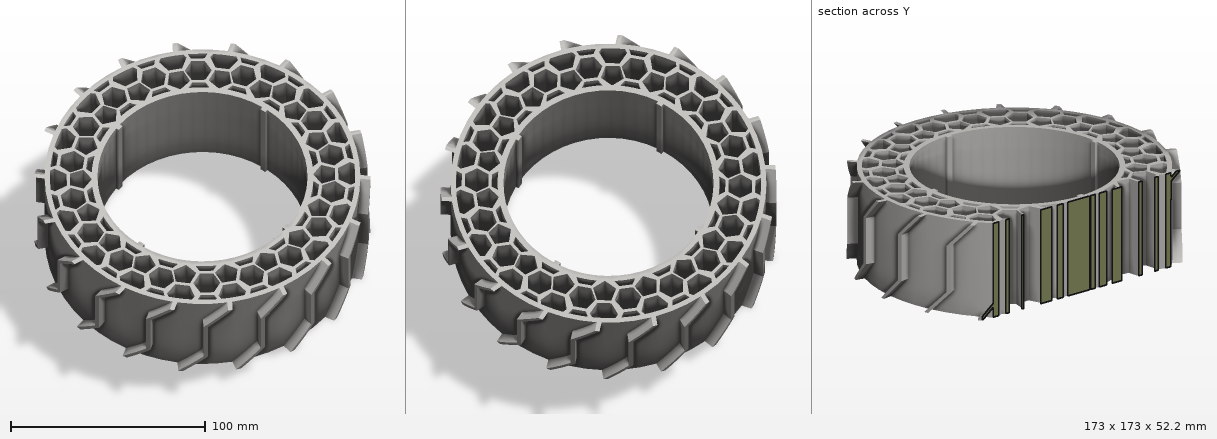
import cadquery as cq
import math

tip_radius = 86.52
height = 52.24
half_height = height / 2

outer_ring_radius = 81.35
outer_ring_inner_radius = 78.6
inner_ring_outer_radius = 57.15
bore_radius = 54.1

sector_count = 18
sector_angle = 360 / sector_count
spoke_cell_side = 6.95
spoke_cell_radius = 67.9
cell_wall = 1.7
spoke_cell_pitch = spoke_cell_side * math.sqrt(3) + cell_wall
pentagon_side = 7.35
pentagon_radius = 63.25
pentagon_lag = 0.38
gap_hexagon_side = 7.25
gap_hexagon_radius = 76.25
gap_hexagon_lag = 0.27

fin_width = 2.4
fin_left_flank = -2.35
fin_straight_top = 13.05
fin_straight_bottom = -12.6
fin_slope = 0.967

key_count = 4
key_width = 3.2
key_tip_radius = 52.4
ring_overlap = 1.0


def cylinder(radius):
    return cq.Workplane("XY", origin=(0, 0, -half_height)).circle(radius).extrude(height)


def annulus(outer_radius, inner_radius):
    return cylinder(outer_radius).cut(cylinder(inner_radius))


def copies_around_axis(body, count):
    return [body.rotate((0, 0, 0), (0, 0, 1), i * 360 / count) for i in range(count)]


def cell_prism(sides, side_length, radius, first_corner_angle):
    """Regular prism centred on the +Y axis at the given distance from the part's axis."""
    corner_radius = side_length / (2 * math.sin(math.pi / sides))
    corners = []
    for i in range(sides):
        angle = math.radians(first_corner_angle + i * 360 / sides)
        corners.append((corner_radius * math.cos(angle), radius + corner_radius * math.sin(angle)))
    return cq.Workplane("XY", origin=(0, 0, -half_height)).polyline(corners).close().extrude(height)


def sector_cells():
    """All the cells of one sector, before clipping to the web."""
    spoke_cells = [
        cell_prism(6, spoke_cell_side, spoke_cell_radius + step * spoke_cell_pitch, 0)
        for step in (-1, 0, 1)
    ]
    pentagon = cell_prism(5, pentagon_side, pentagon_radius, -90)
    gap_hexagon = cell_prism(6, gap_hexagon_side, gap_hexagon_radius, 0)
    gap_cells = [
        pentagon.rotate((0, 0, 0), (0, 0, 1), -sector_angle / 2 - pentagon_lag),
        gap_hexagon.rotate((0, 0, 0), (0, 0, 1), -sector_angle / 2 - gap_hexagon_lag),
    ]
    return spoke_cells + gap_cells


def honeycomb_holes():
    """One list of through holes, each clipped to the web between the rings."""
    web = annulus(outer_ring_inner_radius, inner_ring_outer_radius)
    holes = []
    for cell in sector_cells():
        holes += copies_around_axis(cell.intersect(web), sector_count)
    return holes


def tread_fin():
    """Zigzag fin on the -Y side, with parallel sides and a round tip."""
    upper_run = fin_slope * (half_height - fin_straight_top)
    lower_run = fin_slope * (half_height + fin_straight_bottom)
    left_edge = [
        (fin_left_flank - lower_run, -half_height),
        (fin_left_flank, fin_straight_bottom),
        (fin_left_flank, fin_straight_top),
        (fin_left_flank + upper_run, half_height),
    ]
    right_edge = [(x + fin_width, z) for x, z in reversed(left_edge)]
    zigzag = cq.Workplane("XZ").polyline(left_edge + right_edge).close().extrude(tip_radius)
    return zigzag.intersect(annulus(tip_radius, outer_ring_radius - ring_overlap))


def bore_key():
    """Full-height key on the +Y side of the bore, with one flank on the Y axis."""
    key_length = bore_radius + ring_overlap - key_tip_radius
    return (
        cq.Workplane("XY")
        .box(key_width, key_length, height, centered=(False, False, True))
        .translate((-key_width, key_tip_radius, 0))
    )


holes = [hole.val() for hole in honeycomb_holes()]
fins = [fin.val() for fin in copies_around_axis(tread_fin(), sector_count)]
keys = [key.val() for key in copies_around_axis(bore_key(), key_count)]

rings_and_web = annulus(outer_ring_radius, bore_radius).val().cut(*holes)
result = cq.Workplane(rings_and_web.fuse(*fins, *keys).clean())